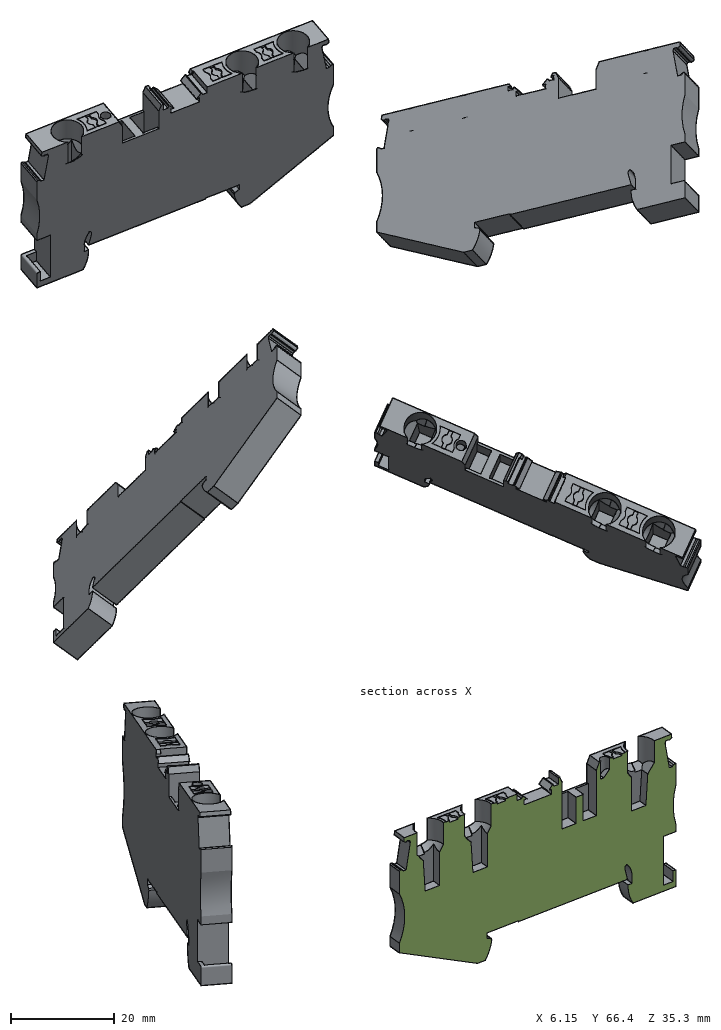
import cadquery as cq

width = 6.15
length = 66.4
height = 35.25
half_width = width / 2
half_length = length / 2
side_plate = 0.85
cut_clearance = 1.0

rear_grip_top, rear_grip_bottom, rear_grip_depth = 22.8, 11.6, 1.25
front_grip_top, front_grip_bottom, front_grip_depth = 23.2, 14.2, 0.65

rear_corner_z = 9.35
rear_hook_flat = (14.45, 12.55)
rear_hook_tip = (10.95, 4.15)
rear_hook_notch = (12.1, 4.95)
rear_hook_shoulder = (11.1, 4.5)
rear_hook_nose_middle = (11.5, 2.0)
rail_face_z = 5.9
rail_step_y = 4.57
rail_step_z = 6.1
clip_slot_wall_y = -22.57
clip_slot_top = (-21.4, 9.35)
clip_mouth_y = -21.6
clip_ledge_z = 4.7
clip_foot_y = -22.85
clip_nose_middle = (-21.9, 2.2)
clip_slot_bend_z = 6.5
clip_slot_bend_middle = (-22.2, 8.1)
clip_slot_end_middle = (-21.05, 9.1)
clip_slot_end = (-20.97, 8.5)
foot_neck_y = -30.2
foot_top_z = 3.92
foot_neck_top_z = 12.52

jumper_rear_y, jumper_front_y = -5.92, -14.0
jumper_floor_z = 29.3
jumper_rear_lead = (-5.35, 33.95)
jumper_front_lead = (-14.72, 33.6)
jumper_pocket_width = 5.1
jumper_pocket_depth = 6.0
jumper_rib_rear_y, jumper_rib_front_y = -9.13, -10.93

marker_wall_y = 4.91
marker_tooth_reach = 0.6
marker_tooth_top = 0.2
marker_tooth_tip_z = 34.5
marker_tooth_root_z = 34.7

wire_entries = [(25.8, -1), (14.35, -1), (-24.75, 1)]
entry_x = 0.3
entry_radius = 3.16
entry_depth = 5.0
funnel_depth = 2.0
funnel_end_radius = 1.5
shaft_size = 3.8
shaft_shift = 0.32
shaft_depth = 14.0
shaft_wall_lean = 0.45

label_x = 0.2
label_width = 3.8
label_depth = 0.1
label_near_corner = 3.33
label_near_middle = 3.82
label_far = 7.62
label_notch_half = 1.0
label_notch_depth = 0.4
driver_slot_distance = 5.64
driver_slot_width = 0.8
driver_disc_radius = 1.0
driver_slot_depth = 0.5

test_hole_y = -16.15
test_hole_radius = 1.0
test_hole_depth = 4.0
test_ramp_y = -15.75

foot_pocket_front_y = -32.4
foot_pocket_floor_z = 1.5
foot_lip_round = 0.35

latch_profile = [
    (32.05, height),
    (32.2, 34.4),
    (31.9, 34.15),
    (31.55, 34.0),
    (31.25, 34.15),
    (30.75, 34.1),
    (30.6, 33.65),
    (31.6, 27.75),
    (32.2, 27.75),
    (32.55, 28.05),
    (32.95, 28.2),
    (half_length, 28.0),
]

marker_profile = [
    (marker_wall_y, height),
    (marker_wall_y, 33.78),
    (3.9, 33.78),
    (3.7, 34.2),
    (3.5, 34.2),
    (2.5, 33.15),
    (3.2, 33.15),
    (3.2, 32.15),
]


def mirrored(points):
    """The same points on the -Y side."""
    return [(-y, z) for y, z in points]


def line_through(sketch, points):
    for point in points:
        sketch = sketch.lineTo(*point)
    return sketch


def prism(points, x_start, x_end):
    """Closed YZ polygon extruded from x_start to x_end."""
    return cq.Workplane("YZ", origin=(x_start, 0, 0)).polyline(points).close().extrude(x_end - x_start)


def box(x_range, y_range, z_range):
    corner = (x_range[0], y_range[0], z_range[0])
    size = (x_range[1] - x_range[0], y_range[1] - y_range[0], z_range[1] - z_range[0])
    return cq.Workplane("XY").box(*size, centered=False).translate(corner)


def make_body():
    rear_grip_middle = (half_length - rear_grip_depth, (rear_grip_top + rear_grip_bottom) / 2)
    front_grip_middle = (front_grip_depth - half_length, (front_grip_top + front_grip_bottom) / 2)

    sketch = cq.Workplane("YZ").moveTo(half_length, rear_grip_top)
    sketch = line_through(sketch, reversed(latch_profile))
    sketch = line_through(sketch, marker_profile + mirrored(marker_profile)[::-1])
    sketch = line_through(sketch, [
        (jumper_rear_lead[0], height),
        (jumper_rear_y, jumper_rear_lead[1]),
        (jumper_rear_y, jumper_floor_z),
        (jumper_front_y, jumper_floor_z),
        (jumper_front_y, jumper_front_lead[1]),
        (jumper_front_lead[0], height),
    ])
    sketch = line_through(sketch, mirrored(latch_profile))

    sketch = sketch.lineTo(-half_length, front_grip_top)
    sketch = sketch.threePointArc(front_grip_middle, (-half_length, front_grip_bottom))
    sketch = line_through(sketch, [
        (-half_length, foot_neck_top_z),
        (foot_neck_y, foot_neck_top_z),
        (foot_neck_y, foot_top_z),
        (-half_length, foot_top_z),
        (-half_length, 0),
        (clip_foot_y, 0),
    ])

    sketch = sketch.threePointArc(clip_nose_middle, (clip_mouth_y, clip_ledge_z))
    sketch = sketch.lineTo(clip_slot_wall_y, clip_ledge_z).lineTo(clip_slot_wall_y, clip_slot_bend_z)
    sketch = sketch.threePointArc(clip_slot_bend_middle, clip_slot_top)
    sketch = sketch.threePointArc(clip_slot_end_middle, clip_slot_end)
    sketch = sketch.lineTo(clip_mouth_y, rail_face_z)

    sketch = line_through(sketch, [
        (rail_step_y, rail_face_z),
        (rail_step_y, rail_step_z),
        (rear_hook_notch[0], rail_step_z),
        rear_hook_notch,
        rear_hook_shoulder,
        rear_hook_tip,
    ])
    sketch = sketch.threePointArc(rear_hook_nose_middle, (rear_hook_flat[1], 0))
    sketch = line_through(sketch, [
        (rear_hook_flat[0], 0),
        (half_length, rear_corner_z),
        (half_length, rear_grip_bottom),
    ])
    sketch = sketch.threePointArc(rear_grip_middle, (half_length, rear_grip_top))
    return sketch.close().extrude(half_width, both=True)


def make_marker_tooth(side):
    """Tooth on the wall of the marker groove, only as thick as the side plate."""
    points = [
        (side * marker_wall_y, height),
        (side * (marker_wall_y - marker_tooth_top), height),
        (side * (marker_wall_y - marker_tooth_reach), marker_tooth_tip_z),
        (side * marker_wall_y, marker_tooth_root_z),
    ]
    return prism(points, -half_width, side_plate - half_width)


def make_wire_entry(entry_y, label_side):
    """Round entry, funnel and square shaft whose outer wall leans inwards.

    The funnel is conical on the label side and a square frustum on the outer side.
    """
    entry_floor_z = height - entry_depth
    funnel_floor_z = entry_floor_z - funnel_depth
    shaft_y = entry_y + label_side * shaft_shift
    entry_floor = cq.Workplane("XY", origin=(entry_x, entry_y, entry_floor_z))

    entry = entry_floor.circle(entry_radius).extrude(entry_depth + cut_clearance)
    cone = (
        entry_floor.circle(entry_radius)
        .workplane(offset=-funnel_depth)
        .center(-entry_x, shaft_y - entry_y)
        .circle(funnel_end_radius)
        .loft()
    )
    frustum = (
        entry_floor.rect(2 * entry_radius, 2 * entry_radius)
        .workplane(offset=-funnel_depth)
        .center(-entry_x, shaft_y - entry_y)
        .rect(shaft_size, shaft_size)
        .loft()
    )
    outer_half = (
        entry_floor.center(0, -label_side * entry_radius)
        .rect(2 * entry_radius, 2 * entry_radius)
        .extrude(-funnel_depth)
    )
    entry_bound = entry_floor.circle(entry_radius).extrude(-funnel_depth)
    flat_sides = frustum.intersect(outer_half).intersect(entry_bound)

    inner_y = shaft_y + label_side * shaft_size / 2
    outer_y = shaft_y - label_side * shaft_size / 2
    shaft = prism(
        [
            (inner_y, entry_floor_z),
            (outer_y, entry_floor_z),
            (outer_y, funnel_floor_z),
            (outer_y + label_side * shaft_wall_lean, height - shaft_depth),
            (inner_y, height - shaft_depth),
        ],
        -shaft_size / 2,
        shaft_size / 2,
    )
    return entry.union(cone).union(flat_sides).union(shaft)


def make_label(entry_y, label_side):
    """Shallow label field with a deeper screwdriver slot and disc in it."""

    def from_entry(distance):
        return entry_y + label_side * distance

    left, right = label_x - label_width / 2, label_x + label_width / 2
    notch_left, notch_right = label_x - label_notch_half, label_x + label_notch_half
    near_corner, near_middle = from_entry(label_near_corner), from_entry(label_near_middle)
    far_edge, notch_middle = from_entry(label_far), from_entry(label_far - label_notch_depth)
    field = (
        cq.Workplane("XY", origin=(0, 0, height - label_depth))
        .moveTo(left, near_corner)
        .threePointArc((label_x, near_middle), (right, near_corner))
        .lineTo(right, far_edge)
        .lineTo(notch_right, far_edge)
        .threePointArc((label_x, notch_middle), (notch_left, far_edge))
        .lineTo(left, far_edge)
        .close()
        .extrude(label_depth + cut_clearance)
    )
    slot_floor_z = height - driver_slot_depth
    slot_plane = cq.Workplane("XY", origin=(label_x, from_entry(driver_slot_distance), slot_floor_z))
    slot = slot_plane.rect(label_width, driver_slot_width).extrude(driver_slot_depth)
    disc = slot_plane.circle(driver_disc_radius).extrude(driver_slot_depth)
    return field.union(slot).union(disc)


def make_jumper_pocket(rear_y, front_y):
    half = jumper_pocket_width / 2
    return box((-half, half), (front_y, rear_y), (jumper_floor_z - jumper_pocket_depth, jumper_floor_z))


def make_test_hole():
    """Blind hole whose floor is flat at the rear and ramps up at 45 degrees to the front."""
    floor_z = height - test_hole_depth
    front_y = test_hole_y - test_hole_radius
    ramp_rise = test_ramp_y - front_y
    hole = (
        cq.Workplane("XY", origin=(label_x, test_hole_y, floor_z))
        .circle(test_hole_radius)
        .extrude(test_hole_depth)
    )
    ramp = prism(
        [(test_ramp_y, floor_z), (front_y, floor_z + ramp_rise), (front_y, floor_z)],
        -half_width,
        half_width,
    )
    return hole.cut(ramp)


def make_foot_pocket():
    """Pocket behind the foot's front lip, open to +X, and the rounding of the foot's top front edge."""
    x_start = side_plate - half_width
    pocket = box((x_start, half_width), (foot_pocket_front_y, foot_neck_y), (foot_pocket_floor_z, foot_top_z))
    edge_block = box(
        (-half_width, half_width),
        (-half_length, foot_lip_round - half_length),
        (foot_top_z - foot_lip_round, foot_top_z),
    )
    edge_round = (
        cq.Workplane("YZ", origin=(-half_width, 0, 0))
        .center(foot_lip_round - half_length, foot_top_z - foot_lip_round)
        .circle(foot_lip_round)
        .extrude(width)
    )
    return pocket.union(edge_block.cut(edge_round))


result = make_body()
for tooth_side in (1, -1):
    result = result.union(make_marker_tooth(tooth_side))
for centre_y, towards_label in wire_entries:
    result = result.cut(make_wire_entry(centre_y, towards_label))
    result = result.cut(make_label(centre_y, towards_label))
result = result.cut(make_jumper_pocket(jumper_rear_y, jumper_rib_rear_y))
result = result.cut(make_jumper_pocket(jumper_rib_front_y, jumper_front_y))
result = result.cut(make_test_hole())
result = result.cut(make_foot_pocket())